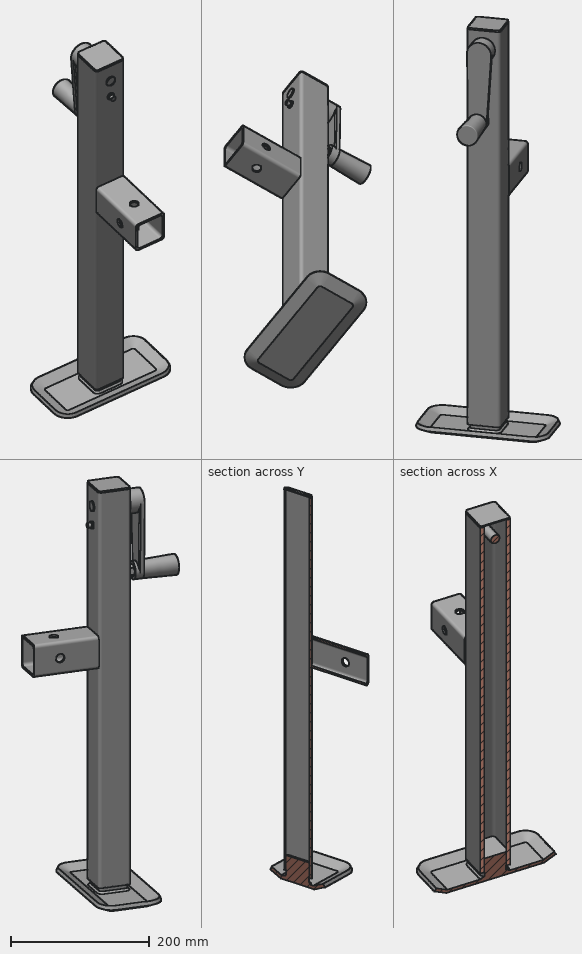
import cadquery as cq
import math


tube_size = 50.0
tube_half = tube_size / 2
tube_corner_radius = 5.0
tube_wall = 3.0
bore_size = tube_size - 2 * tube_wall
bore_corner_radius = 5.0

total_height = 626.0
cap_thickness = 2.5
cap_inset = 0.5
cap_size = tube_size - 2 * cap_inset
cap_corner_radius = tube_corner_radius - cap_inset
post_top = total_height - cap_thickness

foot_width = 100.0
foot_length = 200.0
foot_corner_radius = 24.5
plate_thickness = 6.0
flange_angle = 25.0
flange_run = 19.5
flange_rise = flange_run * math.tan(math.radians(flange_angle))
rim_rise = plate_thickness * math.cos(math.radians(flange_angle))
foot_height = flange_rise + rim_rise
bend_setback = plate_thickness * math.tan(math.radians(flange_angle / 2))

socket_corner_radius = bore_corner_radius + tube_wall
socket_slope_angle = 45.0
socket_slope_height = tube_wall / math.tan(math.radians(socket_slope_angle))
post_bottom = 15.5
spigot_depth = 25.0
spigot_top = post_bottom + spigot_depth

hitch_length = 100.0
hitch_height = 378.0
hitch_hole_diameter = 13.0
hitch_hole_x = 85.0

crank_height = 595.5
hub_radius = 18.0
arm_outer_x = -49.0
arm_thickness = 8.0
arm_edge_bevel = 2.0
hub_clearance = 2.0
arm_end_radius = 14.0
arm_end_thickness = 13.0
arm_drop = 106.0
arm_side_offset = 2.5
shaft_diameter = 15.0
shaft_protrusion = 2.0
hub_end_x = -tube_half - hub_clearance
arm_end_y = arm_side_offset
arm_end_z = crank_height - arm_drop

handle_end_x = -102.5
handle_end_radius = 15.5
handle_end_rounding = 1.0
axle_diameter = 10.0
nut_across_corners = 20.0
nut_thickness = 9.0
nut_edge_cut = 1.0
nut_turn = 40.0

nipple_height = 566.5
nipple_flange_diameter = 10.5
nipple_flange_thickness = 2.5
nipple_stem_diameter = 7.5
nipple_length = 8.0


def rounded_bar(width, length, height, radius, taper=0.0):
    """Rounded rectangle extruded up from Z = 0; a negative taper widens it."""
    outline = cq.Sketch().rect(width, length).vertices().fillet(radius)
    return cq.Workplane("XY").placeSketch(outline).extrude(height, taper=taper)


def rod_along_x(x_start, x_end, radius, y, z):
    """Round rod parallel to X."""
    plane = cq.Workplane("YZ", origin=(x_start, y, z))
    return plane.circle(radius).extrude(x_end - x_start)


def make_square_tube(length):
    """Hollow square tube standing on Z = 0."""
    outside = rounded_bar(tube_size, tube_size, length, tube_corner_radius)
    bore = rounded_bar(bore_size, bore_size, length, bore_corner_radius)
    return outside.cut(bore)


def make_post():
    """Upright tube with a cross hole for the crank shaft."""
    post = make_square_tube(post_top - post_bottom).translate((0, 0, post_bottom))
    return post.cut(rod_along_x(-tube_half, tube_half, shaft_diameter / 2, 0, crank_height))


def make_cap():
    """Flat plate that closes the top of the post, set in slightly from its sides."""
    cap = rounded_bar(cap_size, cap_size, cap_thickness, cap_corner_radius)
    return cap.translate((0, 0, post_top))


def make_dish():
    """Pressed plate with a flat floor, flared flanges and a rim square to the flanges."""
    flare = flange_angle - 90
    base_width = foot_width - 2 * flange_run
    base_length = foot_length - 2 * flange_run
    base_radius = foot_corner_radius - flange_run
    floor_width = base_width - 2 * bend_setback
    floor_length = base_length - 2 * bend_setback
    floor_radius = base_radius - bend_setback

    flanges = rounded_bar(base_width, base_length, flange_rise, base_radius, flare)
    rim = rounded_bar(foot_width, foot_length, rim_rise, foot_corner_radius, flange_angle)
    cavity_depth = foot_height - plate_thickness
    cavity = rounded_bar(floor_width, floor_length, cavity_depth, floor_radius, flare)
    dish = flanges.union(rim.translate((0, 0, flange_rise)))
    return dish.cut(cavity.translate((0, 0, plate_thickness)))


def make_foot():
    """Dish with a sloped socket and a spigot that fits the bore of the post."""
    slope = rounded_bar(
        tube_size, tube_size, socket_slope_height, socket_corner_radius, socket_slope_angle
    ).translate((0, 0, plate_thickness))
    spigot_height = spigot_top - plate_thickness
    spigot = rounded_bar(bore_size, bore_size, spigot_height, bore_corner_radius)
    return make_dish().union(slope).union(spigot.translate((0, 0, plate_thickness)))


def make_hitch():
    """Level tube on the +X face of the post with pin holes across and down through it."""
    hitch = make_square_tube(hitch_length).rotate((0, 0, 0), (0, 1, 0), 90)
    hitch = hitch.translate((tube_half, 0, hitch_height))
    pin_hole = cq.Workplane("XY").circle(hitch_hole_diameter / 2).extrude(tube_half, both=True)
    hole_centre = (hitch_hole_x, 0, hitch_height)
    hitch = hitch.cut(pin_hole.translate(hole_centre))
    return hitch.cut(pin_hole.rotate((0, 0, 0), (1, 0, 0), 90).translate(hole_centre))


def make_arm():
    """Flat arm bounded by two arcs and their common tangents, bevelled on the post side."""
    span = math.hypot(arm_drop, arm_side_offset)
    lean = math.asin((hub_radius - arm_end_radius) / span)
    side_x = math.cos(lean)
    side_y = math.sin(lean)
    arm = (
        cq.Workplane("YZ")
        .moveTo(hub_radius * side_x, -hub_radius * side_y)
        .threePointArc((0, hub_radius), (-hub_radius * side_x, -hub_radius * side_y))
        .lineTo(-arm_end_radius * side_x, -span - arm_end_radius * side_y)
        .threePointArc(
            (0, -span - arm_end_radius),
            (arm_end_radius * side_x, -span - arm_end_radius * side_y),
        )
        .close()
        .extrude(arm_thickness)
        .faces(">X")
        .chamfer(arm_edge_bevel)
    )
    swing = math.degrees(math.atan2(arm_side_offset, arm_drop))
    arm = arm.rotate((0, 0, 0), (1, 0, 0), swing)
    return arm.translate((arm_outer_x, 0, crank_height))


def make_crank():
    """Arm with a hub and shaft at its top and a drilled boss at its lower end."""
    boss_end_x = arm_outer_x + arm_end_thickness
    hub = rod_along_x(arm_outer_x, hub_end_x, hub_radius, 0, crank_height)
    shaft_end_x = tube_half + shaft_protrusion
    shaft = rod_along_x(hub_end_x, shaft_end_x, shaft_diameter / 2, 0, crank_height)
    boss = rod_along_x(arm_outer_x, boss_end_x, arm_end_radius, arm_end_y, arm_end_z)
    axle_hole = rod_along_x(arm_outer_x, boss_end_x, axle_diameter / 2, arm_end_y, arm_end_z)
    return make_arm().union(hub).union(shaft).union(boss).cut(axle_hole)


def make_nut(x_start):
    """Hexagon nut with its corners turned off at both ends."""
    plane = cq.Workplane("YZ", origin=(x_start, 0, 0))
    hexagon = plane.polygon(6, nut_across_corners).extrude(nut_thickness)
    turned = plane.circle(nut_across_corners / 2).extrude(nut_thickness).edges().chamfer(nut_edge_cut)
    nut = hexagon.intersect(turned).rotate((0, 0, 0), (1, 0, 0), nut_turn)
    return nut.translate((0, arm_end_y, arm_end_z))


def make_handle():
    """Tapered grip whose axle passes through the arm and ends in a nut."""
    nut_x = arm_outer_x + arm_end_thickness
    grip = (
        cq.Workplane("YZ", origin=(handle_end_x, arm_end_y, arm_end_z))
        .circle(handle_end_radius)
        .workplane(offset=arm_outer_x - handle_end_x)
        .circle(arm_end_radius)
        .loft()
        .faces("<X")
        .edges()
        .fillet(handle_end_rounding)
    )
    axle = rod_along_x(arm_outer_x, nut_x, axle_diameter / 2, arm_end_y, arm_end_z)
    return grip.union(axle).union(make_nut(nut_x))


def make_nipple():
    """Grease nipple seated on the +X face of the post."""
    flange_end = tube_half + nipple_flange_thickness
    flange = rod_along_x(tube_half, flange_end, nipple_flange_diameter / 2, 0, nipple_height)
    stem = rod_along_x(tube_half, tube_half + nipple_length, nipple_stem_diameter / 2, 0, nipple_height)
    return flange.union(stem)


post = make_post()
cap = make_cap()
foot = make_foot()
hitch = make_hitch()
crank = make_crank()
handle = make_handle()
nipple = make_nipple()

result = cq.Compound.makeCompound(
    [post.val(), cap.val(), foot.val(), hitch.val(), crank.val(), handle.val(), nipple.val()]
)